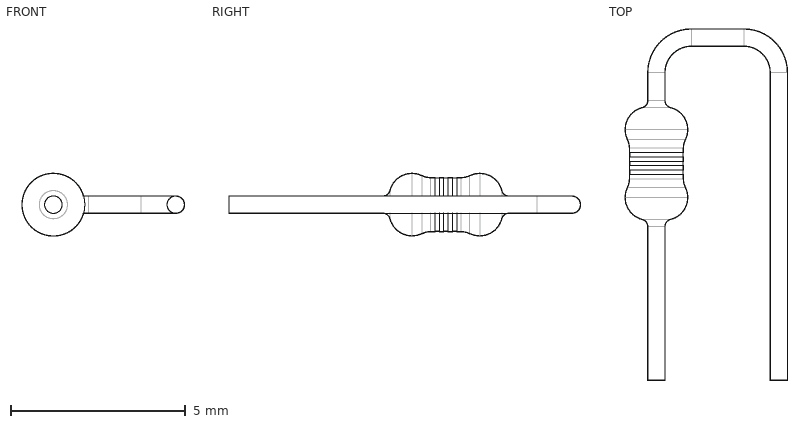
import cadquery as cq
import math

wire_diameter = 0.5
lead_pitch = 3.5
lead_length = 9.8
bend_radius = 1.0

body_centre_y = 6.2
body_diameter = 1.8
bulb_spacing = 1.94
collar_fillet = 0.2
waist_diameter = 1.55
groove_diameter = 1.53
groove_count = 3
groove_width = 0.125

wire_radius = wire_diameter / 2
waist_radius = waist_diameter / 2
bulb_radius = body_diameter / 2 - wire_radius
grooved_length = (2 * groove_count + 1) * groove_width


def make_wire():
    """Sweep the round wire along the U-shaped centreline."""
    diagonal = bend_radius * math.sqrt(0.5)
    bend_start_y = lead_length - bend_radius
    far_bend_x = lead_pitch - bend_radius
    path = (
        cq.Workplane("XY")
        .moveTo(0, 0)
        .lineTo(0, bend_start_y)
        .threePointArc((bend_radius - diagonal, bend_start_y + diagonal), (bend_radius, lead_length))
        .lineTo(far_bend_x, lead_length)
        .threePointArc((far_bend_x + diagonal, bend_start_y + diagonal), (lead_pitch, bend_start_y))
        .lineTo(lead_pitch, 0)
    )
    return cq.Workplane("XZ").circle(wire_radius).sweep(path)


def point_on_arc(centre, radius, angle):
    """Point at an angle, in radians, on an arc."""
    return (centre[0] + radius * math.cos(angle), centre[1] + radius * math.sin(angle))


def make_body():
    """Revolve half of the dumbbell profile, then mirror it about its middle."""
    half_grooved = grooved_length / 2
    bulb_centre = (wire_radius, bulb_spacing / 2)

    rise = bulb_centre[1] - half_grooved
    run = waist_radius - wire_radius
    waist_fillet = (run**2 + rise**2 - bulb_radius**2) / (2 * (bulb_radius - run))
    waist_centre = (waist_radius + waist_fillet, half_grooved)
    waist_angle = math.atan2(rise, waist_centre[0] - wire_radius)

    collar_angle = math.acos(collar_fillet / (bulb_radius + collar_fillet))
    collar_offset = (bulb_radius + collar_fillet) * math.sin(collar_angle)
    collar_centre = (wire_radius + collar_fillet, bulb_centre[1] + collar_offset)

    half_body = (
        cq.Workplane("XY")
        .moveTo(0, 0)
        .lineTo(waist_radius, 0)
        .lineTo(waist_radius, half_grooved)
        .threePointArc(
            point_on_arc(waist_centre, waist_fillet, math.pi - waist_angle / 2),
            point_on_arc(bulb_centre, bulb_radius, -waist_angle),
        )
        .threePointArc(
            point_on_arc(bulb_centre, bulb_radius, -waist_angle / 2),
            point_on_arc(bulb_centre, bulb_radius, 0),
        )
        .threePointArc(
            point_on_arc(bulb_centre, bulb_radius, collar_angle / 2),
            point_on_arc(bulb_centre, bulb_radius, collar_angle),
        )
        .threePointArc(
            point_on_arc(collar_centre, collar_fillet, math.pi + collar_angle / 2),
            (wire_radius, collar_centre[1]),
        )
        .lineTo(0, collar_centre[1])
        .close()
        .revolve(360, (0, 0, 0), (0, 1, 0))
    )
    return half_body.union(half_body.mirror("XZ")).translate((0, body_centre_y, 0))


def make_groove(index):
    """Ring of material to remove around the waist."""
    start_y = body_centre_y - grooved_length / 2 + (2 * index + 1) * groove_width
    return (
        cq.Workplane("XZ", origin=(0, start_y, 0))
        .circle(waist_radius)
        .circle(groove_diameter / 2)
        .extrude(-groove_width)
    )


result = make_wire().union(make_body())
for groove_index in range(groove_count):
    result = result.cut(make_groove(groove_index))